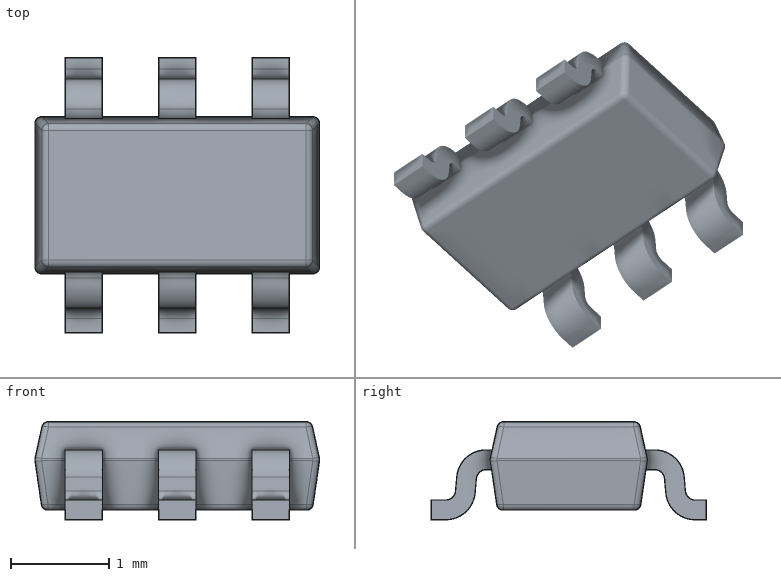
import cadquery as cq
import math

body_length = 2.9
body_width = 1.6
body_bottom = 0.1
body_top = 1.0
parting_height = 0.615
top_draft = 12.3
bottom_draft = 8.3
edge_radius = 0.07

lead_count = 3
lead_pitch = 0.95
lead_width = 0.38
lead_thickness = 0.203
lead_top = 0.713
lead_span = 2.8
outer_bend_radius = 0.302
inner_bend_radius = outer_bend_radius - lead_thickness
lead_slant = 5.0
lead_root = 0.58
front_bend_start = 0.84
rear_bend_start = 0.875


def rounded_body():
    """Two drafted halves with every edge rounded, the parting edge included."""
    half_turn = math.radians(top_draft + bottom_draft) / 2
    trim = edge_radius * (1 / math.cos(half_turn) - 1)

    def drafted_half(height, draft):
        outline = cq.Workplane("XY").rect(body_length + 2 * trim, body_width + 2 * trim)
        return outline.extrude(height, taper=draft)

    upper = drafted_half(body_top - parting_height, top_draft)
    lower = drafted_half(parting_height - body_bottom, bottom_draft).mirror("XY")
    rounded = upper.union(lower).edges().fillet(edge_radius)
    return rounded.translate((0, 0, parting_height))


def lead_profile(bend_start):
    """S-shaped lead section: outward distance first, height second."""
    slant = math.radians(lead_slant)
    turn = math.pi / 2 - slant
    radius_sum = outer_bend_radius + inner_bend_radius
    drop = lead_top - lead_thickness
    run_length = (drop - radius_sum * (1 - math.cos(turn))) / math.sin(turn)
    reach = radius_sum * math.sin(turn) + run_length * math.cos(turn)
    shoulder = (bend_start, lead_top - outer_bend_radius)
    heel = (bend_start + reach, outer_bend_radius)

    def shoulder_point(radius, angle):
        return shoulder[0] + radius * math.sin(angle), shoulder[1] + radius * math.cos(angle)

    def heel_point(radius, angle):
        return heel[0] - radius * math.sin(angle), heel[1] - radius * math.cos(angle)

    return (
        cq.Workplane("YZ")
        .moveTo(lead_root, lead_top)
        .lineTo(bend_start, lead_top)
        .threePointArc(shoulder_point(outer_bend_radius, turn / 2), shoulder_point(outer_bend_radius, turn))
        .lineTo(*heel_point(inner_bend_radius, turn))
        .threePointArc(heel_point(inner_bend_radius, turn / 2), heel_point(inner_bend_radius, 0))
        .lineTo(lead_span / 2, lead_thickness)
        .lineTo(lead_span / 2, 0)
        .lineTo(*heel_point(outer_bend_radius, 0))
        .threePointArc(heel_point(outer_bend_radius, turn / 2), heel_point(outer_bend_radius, turn))
        .lineTo(*shoulder_point(inner_bend_radius, turn))
        .threePointArc(shoulder_point(inner_bend_radius, turn / 2), shoulder_point(inner_bend_radius, 0))
        .lineTo(lead_root, lead_top - lead_thickness)
        .close()
    )


rear_lead = lead_profile(rear_bend_start).extrude(lead_width / 2, both=True)
front_lead = lead_profile(front_bend_start).extrude(lead_width / 2, both=True).mirror("XZ")

result = rounded_body()
for index in range(lead_count):
    lead_x = (index - (lead_count - 1) / 2) * lead_pitch
    result = result.union(rear_lead.translate((lead_x, 0, 0)))
    result = result.union(front_lead.translate((lead_x, 0, 0)))